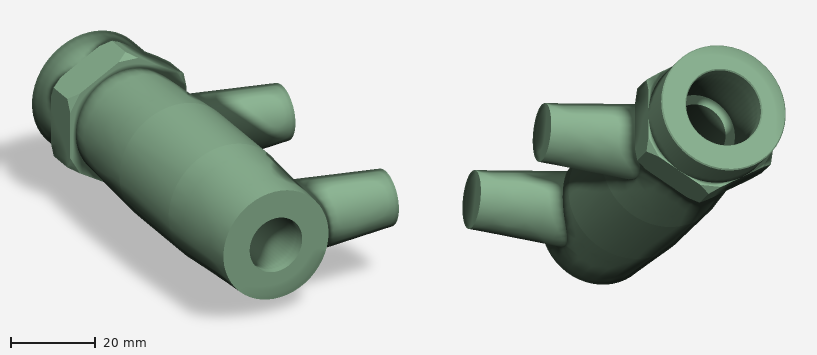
import cadquery as cq
import math

total_length = 96.0
body_diameter = 31.0
neck_diameter = 28.0
bore_diameter = 14.0
front_edge_chamfer = 0.3

hex_across_flats = body_diameter
hex_start = 10.0
hex_width = 10.0
hex_end = hex_start + hex_width
hex_corner_chamfer = 1.5

barrel_section = (total_length - hex_end) / 3

socket_diameter = 18.63
socket_depth = hex_end
socket_mouth_diameter = 19.2

spigot_tip_diameter = 14.0
spigot_root_diameter = 17.6
spigot_tip_y = 35.0
spigot_root_y = 14.5
spigot_start_y = 11.0
spigot_spacing = 53.3
barrel_middle = (hex_end + total_length) / 2
spigot_positions = (barrel_middle - spigot_spacing / 2, barrel_middle + spigot_spacing / 2)


def revolve_about_x(profile):
    """Turn a closed (x, radius) outline about the X axis."""
    return cq.Workplane("XY").polyline(profile).close().revolve(360, (0, 0, 0), (1, 0, 0))


def make_body():
    """Collar, rising cone, cylinder and falling cone in one turned shape."""
    body_radius = body_diameter / 2
    neck_radius = neck_diameter / 2
    return revolve_about_x([
        (0, 0),
        (0, body_radius - front_edge_chamfer),
        (front_edge_chamfer, body_radius),
        (hex_end, body_radius),
        (hex_end, neck_radius),
        (hex_end + barrel_section, body_radius),
        (hex_end + 2 * barrel_section, body_radius),
        (total_length, neck_radius),
        (total_length, 0),
    ])


def make_hexagon():
    """Hexagon with corners at +Z and -Z, each corner cut flat at 45 degrees on both faces."""
    corner_radius = hex_across_flats / 2 / math.cos(math.radians(30))
    hexagon = (
        cq.Workplane("YZ", origin=(hex_start, 0, 0))
        .polygon(6, 2 * corner_radius)
        .extrude(hex_width)
        .rotate((0, 0, 0), (1, 0, 0), 90)
    )
    trimming_slab = (
        cq.Workplane("XY", origin=(hex_start + hex_width / 2, 0, 0))
        .box(hex_width, 4 * corner_radius, 2 * corner_radius)
        .edges("|Y")
        .chamfer(hex_corner_chamfer)
    )
    corner_pair_angles = (0, 60, 120)
    for angle in corner_pair_angles:
        hexagon = hexagon.intersect(trimming_slab.rotate((0, 0, 0), (1, 0, 0), angle))
    return hexagon


def make_spigot(spigot_x):
    """Tapered spigot whose root is buried in the barrel."""
    tip_radius = spigot_tip_diameter / 2
    taper = (spigot_root_diameter / 2 - tip_radius) / (spigot_tip_y - spigot_root_y)
    length = spigot_tip_y - spigot_start_y
    start_radius = tip_radius + taper * length
    cone = cq.Solid.makeCone(
        start_radius,
        tip_radius,
        length,
        pnt=cq.Vector(spigot_x, spigot_start_y, 0),
        dir=cq.Vector(0, 1, 0),
    )
    return cq.Workplane(obj=cone)


def make_bore():
    """Through bore with a wider, lightly countersunk socket at the hexagon end."""
    bore_radius = bore_diameter / 2
    socket_radius = socket_diameter / 2
    mouth_radius = socket_mouth_diameter / 2
    return revolve_about_x([
        (0, 0),
        (0, mouth_radius),
        (mouth_radius - socket_radius, socket_radius),
        (socket_depth, socket_radius),
        (socket_depth, bore_radius),
        (total_length, bore_radius),
        (total_length, 0),
    ])


result = make_body().union(make_hexagon())
for position in spigot_positions:
    result = result.union(make_spigot(position))
result = result.cut(make_bore())